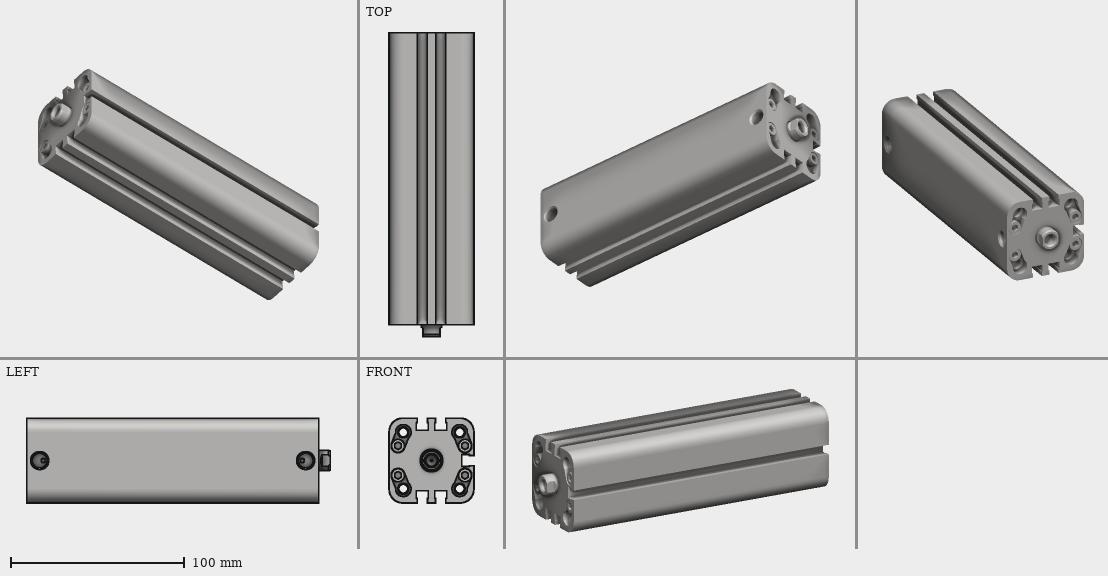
import cadquery as cq
import math


body_side = 49.0
overall_length = 175.2
rod_projection = 6.7
body_length = overall_length - rod_projection
half_side = body_side / 2
half_length = body_length / 2
front_y = -half_length
corner_radius = 8.0

slot_mouth_width = 5.8
slot_inner_width = 6.8
slot_lip_height = 2.7
slot_depth = 7.0
slot_pair_offset = 5.3

mount_offset = 16.25
mount_hole_diameter = 5.2
mount_countersink_diameter = 6.32
mount_recess_diameter = 9.0
screw_x = 19.3
screw_z = 8.5
screw_recess_width = 8.0
screw_head_diameter = 7.5
screw_head_setback = 0.4
recess_depth = 5.0
socket_across_flats = 3.8
socket_depth = 2.5
socket_sides = 6

rod_diameter = 12.0
rod_chamfer_length = 1.2
rod_chamfer_inset = 0.6
rod_across_flats = 10.0
rod_flat_start = 1.0
rod_flat_ramp = (rod_diameter - rod_across_flats) / 2
rod_groove_diameter = 13.0
rod_groove_depth = 2.0
rod_thread_diameter = 6.65
rod_thread_mouth_diameter = 8.2
rod_thread_depth = 14.0
drill_point_angle = 118.0
drill_tip_diameter = 1.2
tip_y = front_y - rod_projection

port_end_distance = 7.6
port_diameter = 8.57
port_mouth_diameter = 10.4
port_depth = 8.0
air_passage_diameter = 2.5
air_passage_offset = 2.0
air_passage_depth = 4.0

TOWARD_REAR = cq.Vector(0, 1, 0)
INWARD_X = cq.Vector(1, 0, 0)
SIGNS = (-1, 1)


def cylinder(diameter, length, start, direction):
    return cq.Workplane(cq.Solid.makeCylinder(diameter / 2, length, cq.Vector(*start), direction))


def cone(start_diameter, end_diameter, length, start, direction):
    start_radius = start_diameter / 2
    end_radius = end_diameter / 2
    return cq.Workplane(cq.Solid.makeCone(start_radius, end_radius, length, cq.Vector(*start), direction))


def countersink(mouth_diameter, hole_diameter, start, direction):
    """45 degree cone from the mouth down to the hole."""
    depth = (mouth_diameter - hole_diameter) / 2
    return cone(mouth_diameter, hole_diameter, depth, start, direction)


def make_body():
    body = cq.Workplane("XY").box(body_side, body_length, body_side)
    return body.edges("|Y").fillet(corner_radius)


def t_slot(offset, turn):
    """Full-length slot open at the top, then turned about the Y axis."""
    mouth = cq.Workplane("XY").box(
        slot_mouth_width, body_length, slot_depth, centered=(True, True, False)
    )
    inner = cq.Workplane("XY").box(
        slot_inner_width, body_length, slot_depth - slot_lip_height, centered=(True, True, False)
    )
    slot = mouth.union(inner).translate((offset, 0, half_side - slot_depth))
    return slot.rotate((0, 0, 0), (0, 1, 0), turn)


def corner_recess(side_x, side_z):
    """Mounting hole and the recess that joins it to the cover screw."""
    mount_x = side_x * mount_offset
    mount_z = side_z * mount_offset
    seat_x = side_x * screw_x
    seat_z = side_z * screw_z
    floor_start = (mount_x, front_y + recess_depth, mount_z)

    recess = cylinder(mount_recess_diameter, recess_depth, (mount_x, front_y, mount_z), TOWARD_REAR)

    run_x = seat_x - mount_x
    run_z = seat_z - mount_z
    link_length = math.hypot(run_x, run_z) + screw_recess_width
    link_angle = math.degrees(math.atan2(run_z, run_x))
    link = (
        cq.Workplane("XZ", origin=((mount_x + seat_x) / 2, front_y, (mount_z + seat_z) / 2))
        .slot2D(link_length, screw_recess_width, link_angle)
        .extrude(-recess_depth)
    )
    hole = cylinder(mount_hole_diameter, body_length, (mount_x, front_y, mount_z), TOWARD_REAR)
    chamfer = countersink(mount_countersink_diameter, mount_hole_diameter, floor_start, TOWARD_REAR)
    return recess.union(link).union(hole).union(chamfer)


def cover_screw(side_x, side_z):
    """Cylindrical screw head, set back from the front face, with a hexagon socket."""
    head_start = (side_x * screw_x, front_y + screw_head_setback, side_z * screw_z)
    head = cylinder(screw_head_diameter, recess_depth - screw_head_setback, head_start, TOWARD_REAR)
    socket_across_corners = socket_across_flats / math.cos(math.pi / socket_sides)
    socket = (
        cq.Workplane("XZ", origin=head_start)
        .transformed(rotate=(0, 0, 90))
        .polygon(socket_sides, socket_across_corners)
        .extrude(-socket_depth)
    )
    return head.cut(socket)


def air_port(side_y):
    """Threaded port with an off-centre air passage toward the middle of the body."""
    port_y = side_y * (half_length - port_end_distance)
    passage_y = port_y - side_y * air_passage_offset
    mouth = (-half_side, port_y, 0)
    port = cylinder(port_diameter, port_depth, mouth, INWARD_X)
    chamfer = countersink(port_mouth_diameter, port_diameter, mouth, INWARD_X)
    passage = cylinder(
        air_passage_diameter, port_depth + air_passage_depth, (-half_side, passage_y, 0), INWARD_X
    )
    return port.union(chamfer).union(passage)


def make_rod():
    """Rod end with two wrench flats that run out in 45 degree ramps.

    The rod is rooted at the floor of its clearance groove.
    """
    root_length = rod_projection + rod_groove_depth
    rod = cylinder(rod_diameter, root_length, (0, tip_y, 0), TOWARD_REAR)
    rod = rod.faces("<Y").chamfer(rod_chamfer_length, rod_chamfer_inset)
    flat_length = rod_projection - rod_flat_start
    for side_x in SIGNS:
        flat = cq.Workplane("XY").box(rod_diameter, flat_length, rod_diameter)
        flat = flat.edges("|Z and >Y").chamfer(rod_flat_ramp)
        flat_x = side_x * (rod_across_flats + rod_diameter) / 2
        rod = rod.cut(flat.translate((flat_x, tip_y + flat_length / 2, 0)))
    return rod


def rod_thread_hole():
    """Threaded hole in the rod end, with a blunt conical drill point."""
    half_angle = math.radians(drill_point_angle / 2)
    point_length = (rod_thread_diameter - drill_tip_diameter) / 2 / math.tan(half_angle)
    point_start = (0, tip_y + rod_thread_depth, 0)
    hole = cylinder(rod_thread_diameter, rod_thread_depth, (0, tip_y, 0), TOWARD_REAR)
    chamfer = countersink(rod_thread_mouth_diameter, rod_thread_diameter, (0, tip_y, 0), TOWARD_REAR)
    point = cone(rod_thread_diameter, drill_tip_diameter, point_length, point_start, TOWARD_REAR)
    return hole.union(chamfer).union(point)


result = make_body()

for slot_turn in (0, 180):
    for side in SIGNS:
        result = result.cut(t_slot(side * slot_pair_offset, slot_turn))
result = result.cut(t_slot(0, 90))

for corner_x in SIGNS:
    for corner_z in SIGNS:
        result = result.cut(corner_recess(corner_x, corner_z))
        result = result.union(cover_screw(corner_x, corner_z))

for end in SIGNS:
    result = result.cut(air_port(end))

result = result.cut(cylinder(rod_groove_diameter, rod_groove_depth, (0, front_y, 0), TOWARD_REAR))
result = result.union(make_rod()).cut(rod_thread_hole())